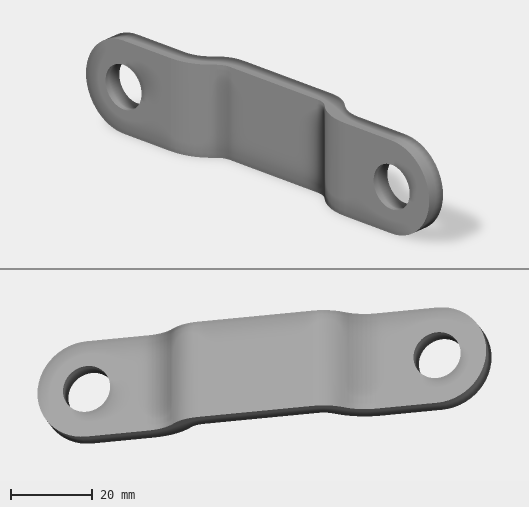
import cadquery as cq
import math

length = 114.0
width = 25.0
depth = 11.0
thickness = 5.0
hole_diameter = 12.0
raised_half_length = 14.6
bend_inner_radius = 5.0
bend_outer_radius = 15.0

end_radius = width / 2
hole_offset = length / 2 - end_radius
rise = depth - thickness
radius_sum = bend_inner_radius + bend_outer_radius
bend_angle = math.acos(1 - rise / radius_sum)
tab_start = raised_half_length + radius_sum * math.sin(bend_angle)


def arc_point(center, radius, angle):
    """Point on an arc, with the angle measured from +Y toward +X."""
    return (center[0] + radius * math.sin(angle), center[1] + radius * math.cos(angle))


def half_strip():
    """Bent strip for the +X half, with the tab front face at Y = 0."""
    upper_center = (raised_half_length, rise - bend_inner_radius)
    lower_center = (tab_start, bend_outer_radius)
    upper_back_radius = bend_inner_radius + thickness
    lower_back_radius = bend_outer_radius - thickness
    half_angle = bend_angle / 2

    def upper(radius, angle):
        return arc_point(upper_center, radius, angle)

    def lower(radius, angle):
        return arc_point(lower_center, radius, math.pi + angle)

    return (
        cq.Workplane("XY")
        .workplane(offset=-width / 2)
        .moveTo(0, rise)
        .lineTo(raised_half_length, rise)
        .threePointArc(upper(bend_inner_radius, half_angle), upper(bend_inner_radius, bend_angle))
        .threePointArc(lower(bend_outer_radius, half_angle), (tab_start, 0))
        .lineTo(length / 2, 0)
        .lineTo(length / 2, thickness)
        .lineTo(tab_start, thickness)
        .threePointArc(lower(lower_back_radius, half_angle), lower(lower_back_radius, bend_angle))
        .threePointArc(upper(upper_back_radius, half_angle), (raised_half_length, depth))
        .lineTo(0, depth)
        .close()
        .extrude(width)
    )


right_half = half_strip()
strip = right_half.union(right_half.mirror("YZ")).clean()

outline = cq.Workplane("XZ").slot2D(length, width).extrude(-depth)
holes = (
    cq.Workplane("XZ")
    .pushPoints([(-hole_offset, 0), (hole_offset, 0)])
    .circle(hole_diameter / 2)
    .extrude(-depth)
)
result = strip.intersect(outline).cut(holes)